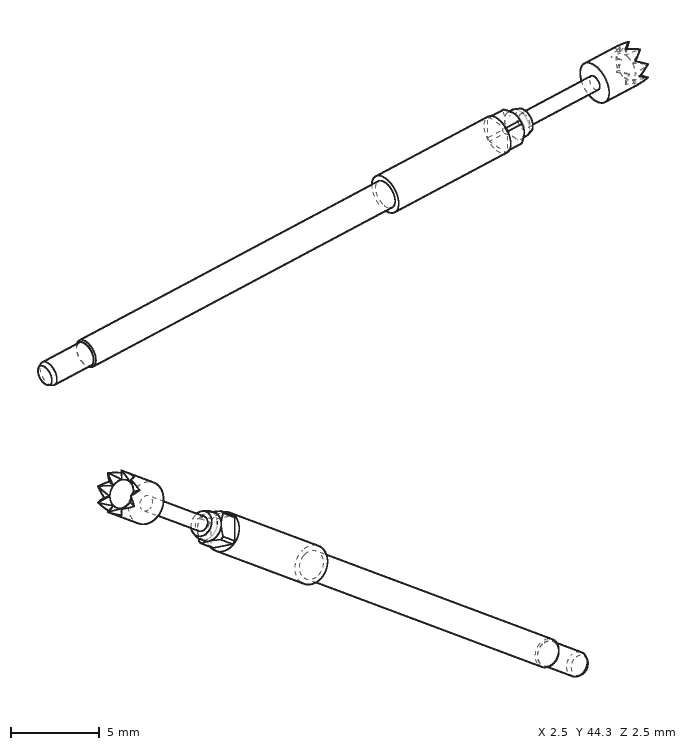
import cadquery as cq
import math


total_length = 44.3
head_end = 3.0
collar_start = 8.3
collar_shoulder = 8.65
collar_end = 9.05
body_start = 10.3
body_end = 18.75
tube_end = 41.3
tip_y = total_length / 2

head_diameter = 2.5
plunger_diameter = 0.9
collar_tip_diameter = 1.45
tube_diameter = 1.7
body_diameter = 2.3
tail_diameter = 1.45

flats_width = tube_diameter
flats_corner_diameter = 2.15
cone_length = 0.18

tube_chamfer = 0.1
tail_chamfer_length = 0.25
tail_chamfer_depth = 0.15

tooth_count = 8
tooth_depth = 0.7
pocket_angle = 60.0
tooth_angle = 360 / tooth_count
groove_half_width = head_diameter / 2 * math.sin(math.radians(tooth_angle / 2))
pocket_floor_diameter = head_diameter - 2 * tooth_depth * math.tan(math.radians(pocket_angle / 2))


def turned(sections):
    """Revolve (distance from tips, diameter) corners about the Y axis."""
    first_distance = sections[0][0]
    last_distance = sections[-1][0]
    outline = [(0, tip_y - first_distance)]
    outline += [(diameter / 2, tip_y - distance) for distance, diameter in sections]
    outline += [(0, tip_y - last_distance)]
    return cq.Workplane("XY").polyline(outline).close().revolve(360, (0, 0, 0), (0, 1, 0))


def barrel():
    """Collar, body, tube and tail as one turned bar."""
    return turned([
        (collar_start, collar_tip_diameter),
        (collar_shoulder, tube_diameter),
        (collar_end, tube_diameter),
        (collar_end + cone_length, flats_corner_diameter),
        (body_start, flats_corner_diameter),
        (body_start, body_diameter),
        (body_end, body_diameter),
        (body_end, tube_diameter),
        (tube_end - tube_chamfer, tube_diameter),
        (tube_end, tube_diameter - 2 * tube_chamfer),
        (tube_end, tail_diameter),
        (total_length - tail_chamfer_length, tail_diameter),
        (total_length, tail_diameter - 2 * tail_chamfer_depth),
    ])


def wrench_flats_cutter():
    """Square ring that trims the round bar to four flats."""
    length = body_start - collar_end
    centre_y = tip_y - (collar_end + body_start) / 2
    outer = cq.Workplane("XY").box(body_diameter, length, body_diameter)
    inner = cq.Workplane("XY").box(flats_width, length, flats_width)
    return outer.cut(inner).translate((0, centre_y, 0))


def crown_head():
    """Round head, hollowed at the tip, with one V groove per pair of opposite valleys."""
    head = turned([(0, head_diameter), (head_end, head_diameter)])
    head = head.cut(turned([(0, head_diameter), (tooth_depth, pocket_floor_diameter)]))
    groove = (
        cq.Workplane("XY")
        .polyline([
            (-groove_half_width, tip_y),
            (0, tip_y - tooth_depth),
            (groove_half_width, tip_y),
        ])
        .close()
        .extrude(head_diameter, both=True)
    )
    for index in range(tooth_count // 2):
        head = head.cut(groove.rotate((0, 0, 0), (0, 1, 0), index * tooth_angle))
    return head


def plunger_rod():
    return turned([(head_end, plunger_diameter), (collar_start, plunger_diameter)])


result = barrel().cut(wrench_flats_cutter()).union(plunger_rod()).union(crown_head())